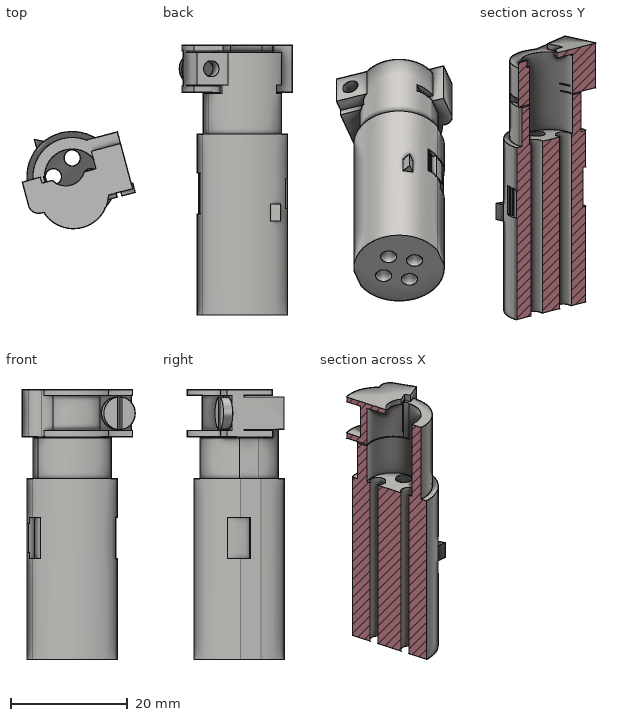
import cadquery as cq
import math

TURN = 15.0
OVERLAP = 0.05
FAR = 30.0

TOTAL_HEIGHT = 46.25
BARREL_TOP = 31.0
TUBE_TOP = 45.0
UPPER_PLATE_THICKNESS = 1.0
LOWER_PLATE_THICKNESS = 1.1
CLAMP_BOTTOM = 38.15
SLOT_BOTTOM = 38.0
SLOT_TOP = 39.45
UPPER_PLATE_Z = TOTAL_HEIGHT - UPPER_PLATE_THICKNESS
CLAMP_MIDDLE = (CLAMP_BOTTOM + TOTAL_HEIGHT) / 2

BARREL_RADIUS = 7.75
BARREL_FLAT = 7.535
NECK_RADIUS = 6.72
NECK_FLAT = 6.5
BORE_RADIUS = 4.75
WIRE_HOLE_RADIUS = 1.36
WIRE_CIRCLE_RADIUS = 3.2
WIRE_HOLES = 4

LATCH_MIDDLE = 20.85
WINDOW_HEIGHT = 7.06
WINDOW_FLOOR = 6.7
TAB_HEIGHT = 5.02
GRIP_HEIGHT = 5.15
GRIP_START = 2.07
GRIP_WIDTH = 2.05
GRIP_FLOOR = 6.6
GRIP_RIB_OFFSETS = (0.45, 1.2)
GRIP_RIB_WIDTH = 0.35
GRIP_RIB_HEIGHT = 0.12

TOOTH_LEFT = -4.62
TOOTH_RIGHT = -3.1
TOOTH_TIP = 7.86
TOOTH_RIGHT_TOP = 7.1
TOOTH_ROOT = 5.8
TOOTH_BOTTOM = 16.1
TOOTH_HEIGHT = 2.9

CLAMP_LEFT = -8.51
CLAMP_RIGHT = 9.48
CLAMP_FRONT = -4.66
CLAMP_SEAM = 1.32
CLAMP_ROUND = 1.8
RIM_CENTER = (-0.55, -2.89)
RIM_RADIUS = 6.0
PLATE_TAB_LEFT = 4.3
PLATE_TAB_BACK = 3.35
NOTCH_FRONT = 0.28
NOTCH_LEFT = -5.28
NOTCH_ARC_LEFT = -3.43
NOTCH_ARC_RIGHT = 2.2
NOTCH_ARC_BOTTOM = -1.36
SADDLE_LEFT = -4.65
SADDLE_RIGHT = 3.95
SADDLE_BOTTOM = -6.15
LUG_FRONT = -3.8
LUG_SEAM = -1.6
LUG_BACK = 5.43
SLOT_FLOOR = 4.82

SCREW_U = 6.96
HEAD_RADIUS = 2.79
HEAD_FRONT = -5.4
DRIVE_WIDTH = 0.8
DRIVE_DEPTH = 1.2
SCREW_HOLE_RADIUS = 1.36
SCREW_HOLE_DEPTH = 4.0


def block(u0, u1, v0, v1, z0, z1):
    return cq.Workplane("XY").box(u1 - u0, v1 - v0, z1 - z0, centered=False).translate((u0, v0, z0))


def cylinder(radius, z0, z1):
    return cq.Workplane("XY").workplane(offset=z0).circle(radius).extrude(z1 - z0)


def flatted_cylinder(radius, flat, z0, z1):
    return cylinder(radius, z0, z1).intersect(block(-flat, flat, -FAR, FAR, z0, z1))


def mirrored(shape):
    return shape.union(shape.mirror("YZ"))


def centered_heights(height):
    return LATCH_MIDDLE - height / 2, LATCH_MIDDLE + height / 2


def make_barrel():
    """Flatted barrel with a window on each side, and a full-round tab and ribbed grip on the left."""
    barrel = flatted_cylinder(BARREL_RADIUS, BARREL_FLAT, 0, BARREL_TOP)
    tab = cylinder(BARREL_RADIUS, *centered_heights(TAB_HEIGHT))
    tab = tab.cut(block(0, FAR, -FAR, FAR, 0, BARREL_TOP))
    window = block(-FAR, -WINDOW_FLOOR, -FAR, 0, *centered_heights(WINDOW_HEIGHT))
    grip_z = centered_heights(GRIP_HEIGHT)
    grip = block(-FAR, -GRIP_FLOOR, GRIP_START, GRIP_START + GRIP_WIDTH, *grip_z)
    for offset in GRIP_RIB_OFFSETS:
        start = GRIP_START + offset
        rib_top = -GRIP_FLOOR - GRIP_RIB_HEIGHT
        grip = grip.cut(block(rib_top, -GRIP_FLOOR, start, start + GRIP_RIB_WIDTH, *grip_z))
    return barrel.union(tab).cut(mirrored(window)).cut(grip)


def make_tooth():
    outline = [
        (TOOTH_LEFT, TOOTH_ROOT),
        (TOOTH_LEFT, TOOTH_TIP),
        (TOOTH_RIGHT, TOOTH_RIGHT_TOP),
        (TOOTH_RIGHT, TOOTH_ROOT),
    ]
    return cq.Workplane("XY").workplane(offset=TOOTH_BOTTOM).polyline(outline).close().extrude(TOOTH_HEIGHT)


def make_tube():
    """Neck whose upper end is a half tube with a screw lug, grooved for the lower clamp plate."""
    neck = flatted_cylinder(NECK_RADIUS, NECK_FLAT, BARREL_TOP - OVERLAP, SLOT_BOTTOM)
    half = cylinder(NECK_RADIUS, SLOT_BOTTOM, TUBE_TOP)
    half = half.cut(block(-FAR, 0, -FAR, CLAMP_SEAM - OVERLAP, SLOT_BOTTOM, TUBE_TOP))
    half = half.cut(block(0, FAR, -FAR, LUG_SEAM - OVERLAP, SLOT_BOTTOM, TUBE_TOP))
    half = half.cut(mirrored(block(-FAR, -SLOT_FLOOR, -FAR, FAR, SLOT_BOTTOM, SLOT_TOP)))
    lug = block(0, CLAMP_RIGHT, LUG_SEAM - OVERLAP, LUG_BACK, SLOT_TOP, TUBE_TOP)
    return neck.union(half).union(lug)


def clamp_outline(z):
    """Left side of the clamp, from the seam round the front corner."""
    bend = CLAMP_ROUND * (1 - math.sqrt(0.5))
    return (
        cq.Workplane("XY").workplane(offset=z)
        .moveTo(CLAMP_LEFT, CLAMP_SEAM)
        .lineTo(CLAMP_LEFT, CLAMP_FRONT + CLAMP_ROUND)
        .threePointArc(
            (CLAMP_LEFT + bend, CLAMP_FRONT + bend),
            (CLAMP_LEFT + CLAMP_ROUND, CLAMP_FRONT),
        )
    )


def make_plate(z, thickness):
    """Clamp plate with a round front rim, a tab over the lug and a notch over the bore."""
    center_u, center_v = RIM_CENTER
    rim_half_width = math.sqrt(RIM_RADIUS**2 - (CLAMP_FRONT - center_v) ** 2)
    notch_middle = (NOTCH_ARC_LEFT + NOTCH_ARC_RIGHT) / 2
    return (
        clamp_outline(z)
        .lineTo(center_u - rim_half_width, CLAMP_FRONT)
        .threePointArc(
            (center_u, center_v - RIM_RADIUS),
            (center_u + rim_half_width, CLAMP_FRONT),
        )
        .lineTo(CLAMP_RIGHT, CLAMP_FRONT)
        .lineTo(CLAMP_RIGHT, PLATE_TAB_BACK)
        .lineTo(PLATE_TAB_LEFT, PLATE_TAB_BACK)
        .lineTo(PLATE_TAB_LEFT, NOTCH_FRONT)
        .lineTo(NOTCH_ARC_RIGHT, NOTCH_FRONT)
        .threePointArc((notch_middle, NOTCH_ARC_BOTTOM), (NOTCH_ARC_LEFT, NOTCH_FRONT))
        .lineTo(NOTCH_LEFT, NOTCH_FRONT)
        .lineTo(NOTCH_LEFT, CLAMP_SEAM)
        .close()
        .extrude(thickness)
    )


def make_saddle():
    """Body between the clamp plates: corner block, round saddle and screw lug."""
    saddle_middle = (SADDLE_LEFT + SADDLE_RIGHT) / 2
    saddle = (
        clamp_outline(CLAMP_BOTTOM)
        .lineTo(SADDLE_LEFT, CLAMP_FRONT)
        .threePointArc((saddle_middle, SADDLE_BOTTOM), (SADDLE_RIGHT, LUG_FRONT))
        .lineTo(CLAMP_RIGHT, LUG_FRONT)
        .lineTo(CLAMP_RIGHT, LUG_SEAM)
        .lineTo(0, LUG_SEAM)
        .lineTo(NOTCH_LEFT, NOTCH_FRONT)
        .lineTo(NOTCH_LEFT, CLAMP_SEAM)
        .close()
        .extrude(UPPER_PLATE_Z - CLAMP_BOTTOM)
    )
    step = block(NOTCH_LEFT, -BORE_RADIUS, NOTCH_FRONT, CLAMP_SEAM, CLAMP_BOTTOM, TUBE_TOP)
    return saddle.union(step)


def front_cylinder(radius, v0, v1):
    """Cylinder along v on the screw axis, from v0 back to v1."""
    plane = cq.Plane(origin=(SCREW_U, v0, CLAMP_MIDDLE), xDir=(1, 0, 0), normal=(0, 1, 0))
    return cq.Workplane(plane).circle(radius).extrude(v1 - v0)


def make_screw_head():
    head = front_cylinder(HEAD_RADIUS, HEAD_FRONT, LUG_FRONT + OVERLAP)
    drive = block(
        SCREW_U - DRIVE_WIDTH / 2, SCREW_U + DRIVE_WIDTH / 2,
        HEAD_FRONT, HEAD_FRONT + DRIVE_DEPTH,
        CLAMP_BOTTOM, TOTAL_HEIGHT,
    )
    return head.cut(drive)


def cut_holes(body):
    """Cable bore above the barrel, wire holes through it and the screw hole behind the lug."""
    body = body.cut(cylinder(BORE_RADIUS, BARREL_TOP, UPPER_PLATE_Z))
    for index in range(WIRE_HOLES):
        angle = math.radians(index * 360 / WIRE_HOLES - TURN)
        center = (WIRE_CIRCLE_RADIUS * math.cos(angle), WIRE_CIRCLE_RADIUS * math.sin(angle), 0)
        body = body.cut(cylinder(WIRE_HOLE_RADIUS, 0, BARREL_TOP).translate(center))
    return body.cut(front_cylinder(SCREW_HOLE_RADIUS, LUG_BACK - SCREW_HOLE_DEPTH, LUG_BACK))


body = make_barrel().union(make_tooth()).union(make_tube())
body = body.union(make_saddle())
body = body.union(make_plate(CLAMP_BOTTOM, LOWER_PLATE_THICKNESS))
body = body.union(make_plate(UPPER_PLATE_Z, UPPER_PLATE_THICKNESS))
body = cut_holes(body).union(make_screw_head())
result = body.rotate((0, 0, 0), (0, 0, 1), TURN)